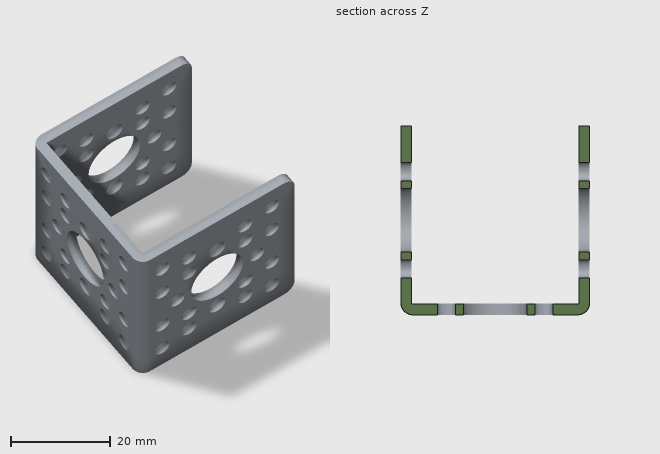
import math

import cadquery as cq

side = 38.1
wall = 2.286
corner_radius = 2.54
half_side = side / 2

centre_bore_diameter = 12.7
small_hole_diameter = 3.556
pivot_hole_diameter = 4.064
hub_circle_radius = 9.779
outer_circle_radius = 19.05
pivot_height = 9.525
edge_inner_row = 5.6
inner_column_outer_row = 12.13

inner_column = hub_circle_radius * math.cos(math.radians(45))
edge_column = outer_circle_radius * math.cos(math.radians(45))


def mirrored(column, row):
    """One hole position repeated in all four quadrants of a wall."""
    return [
        (sign_u * column, sign_v * row)
        for sign_u in (-1, 1)
        for sign_v in (-1, 1)
    ]


def make_channel():
    """U channel with rounded outer bends, sharp inner bends and rounded free corners."""
    block = cq.Workplane("XY").box(side, side, side)
    block = block.edges("|Z and <Y").fillet(corner_radius)
    block = block.edges("|X and >Y").fillet(corner_radius)
    inner_space = cq.Workplane("XY").box(side - 2 * wall, side, side).translate((0, wall, 0))
    return block.cut(inner_space)


def make_hole_pattern(plane):
    """Cylinders for one wall pattern, reaching half the side length each way from the plane."""
    small_holes = (
        mirrored(edge_column, edge_column)
        + mirrored(edge_column, edge_inner_row)
        + mirrored(inner_column, inner_column)
        + mirrored(inner_column, inner_column_outer_row)
        + [(-hub_circle_radius, 0), (hub_circle_radius, 0)]
    )
    pivot_holes = [(0, -pivot_height), (0, pivot_height)]

    def cylinders(points, diameter):
        return cq.Workplane(plane).pushPoints(points).circle(diameter / 2).extrude(half_side, both=True)

    bore = cylinders([(0, 0)], centre_bore_diameter)
    small = cylinders(small_holes, small_hole_diameter)
    pivots = cylinders(pivot_holes, pivot_hole_diameter)
    return bore.union(small).union(pivots)


side_wall_holes = make_hole_pattern("YZ")

web_holes = make_hole_pattern("XZ")

result = make_channel().cut(side_wall_holes).cut(web_holes)